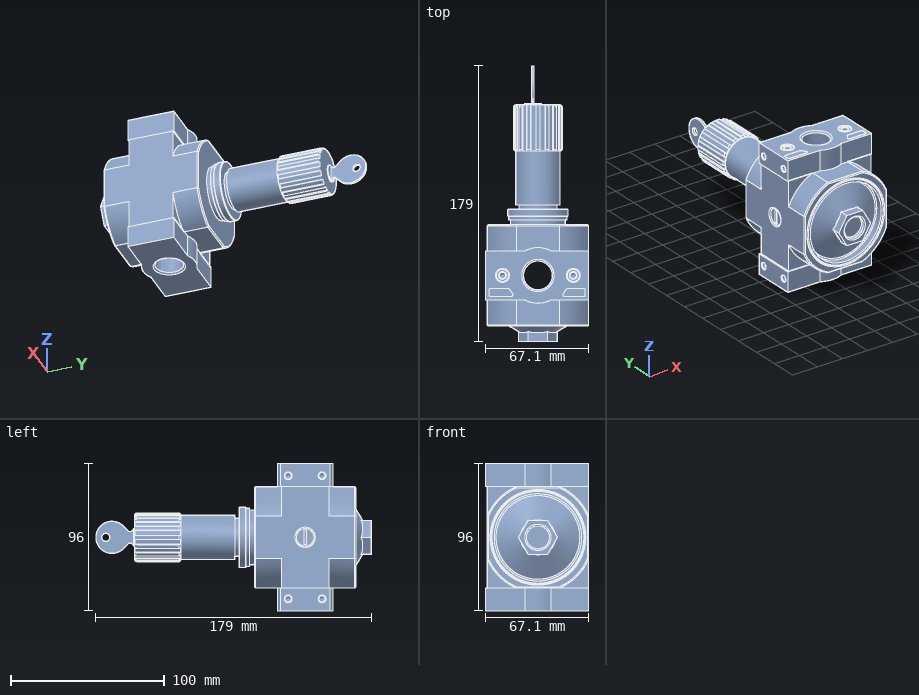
import cadquery as cq
import math


housing_half = 33.0
housing_corner_radius = 35.8
housing_edge_chamfer = 0.8
square_band_half = 15.4

plate_outer_z = 48.0
plate_thickness = plate_outer_z - housing_half
plate_left = -34.1
plate_right = housing_half
plate_half_depth = 16.0
plate_bulge_radius = 18.1
port_diameter = 18.63
port_mouth_diameter = 20.96
side_hole_diameter = 4.13
side_hole_mouth_diameter = 5.0
side_hole_depth = 10.0
side_hole_y = 11.0
side_hole_z = 40.0
drill_point_angle = 118.0

label_edge_gap = 2.3
label_tip_x = 16.3
label_slant = 2.4
label_tip_height = 1.6
label_front_y = -13.7
label_back_y = -8.6
label_corner_radius = 1.0
label_depth = 0.2

screw_x = 23.0
counterbore_diameter = 9.0
counterbore_depth = 5.3
screw_head_diameter = 8.5
screw_head_height = 5.0
screw_diameter = 5.0
screw_length = 22.0
screw_head_seat_z = plate_outer_z - counterbore_depth
screw_tip_z = screw_head_seat_z - screw_length
screw_head_chamfer = 0.3
socket_mouth_diameter = 5.0
socket_diameter = 4.13
socket_depth = 2.5

plug_diameter = 11.45
plug_mouth_diameter = 13.16
plug_recess = (plug_mouth_diameter - plug_diameter) / 2
plug_length = 10.0
plug_slot_width = 1.6
plug_slot_length = 9.6
plug_slot_depth = 1.5

cap_end_y = -43.0
cap_radius = 30.5
cap_edge_chamfer = 0.6
cap_groove_y = -housing_half + cap_edge_chamfer
cap_inner_y = -22.0
cap_recess_radius = 28.4
cone_base_radius = 27.2
cone_base_y = -28.0
cone_top_radius = 11.4
cone_top_y = -37.2
hex_across_flats = 22.0
hex_across_corners = hex_across_flats / math.cos(math.radians(30))
hex_recess_diameter = 17.0
hex_recess_bore_diameter = 15.0
hex_recess_flare = (hex_recess_diameter - hex_recess_bore_diameter) / 2
hex_recess_depth = 3.0

bonnet_base_radius = 17.9
bonnet_step_radius = 19.0
collar_radius = 19.7
neck_radius = 24.9 / 2
bonnet_step_y = 36.1
collar_start_y = 38.3
collar_end_y = 43.1
collar_chamfer = 0.4

sleeve_radius = 14.5
sleeve_start_y = 45.6
grip_start_y = 80.7
grip_end_y = 111.0
grip_radius = 15.0
rib_radius = 15.9
rib_count = 16
rib_width = 2.7
rib_chamfer = 1.1
grip_end_fillet = 2.0

lock_x = -3.25
lock_diameter = 11.2
lock_start_y = 100.0
lock_end_y = 111.6
key_end_y = 136.0
key_thickness = 1.6
key_bow_radius = 10.5
key_bow_y = key_end_y - key_bow_radius
key_hole_diameter = 5.1
key_hole_y = 129.5
key_waist_half = 3.85
key_waist_start_y = 113.0
key_slope = math.radians(45)


def revolved_about_y(points):
    """Solid of revolution about Y from (radius, y) points."""
    return cq.Workplane("XY").polyline(points).close().revolve(360, (0, 0, 0), (0, 1, 0))


def revolved_about_z(points):
    """Solid of revolution about Z from (radius, z) points."""
    return cq.Workplane("XZ").polyline(points).close().revolve(360, (0, 0, 0), (0, 1, 0))


def make_port_cutter():
    """Flow port through the whole part, flared at both mouths."""
    bore = port_diameter / 2
    mouth = port_mouth_diameter / 2
    flare_z = plate_outer_z - (mouth - bore)
    return revolved_about_z([
        (0, -plate_outer_z),
        (mouth, -plate_outer_z),
        (bore, -flare_z),
        (bore, flare_z),
        (mouth, plate_outer_z),
        (0, plate_outer_z),
    ])


def make_drilled_hole_cutter(mouth_diameter, bore_diameter, depth):
    """Countersunk blind hole with a drill point, from the origin towards +Z."""
    bore = bore_diameter / 2
    mouth = mouth_diameter / 2
    point_length = bore / math.tan(math.radians(drill_point_angle / 2))
    return revolved_about_z([
        (0, 0),
        (mouth, 0),
        (bore, mouth - bore),
        (bore, depth),
        (0, depth + point_length),
    ])


def make_label_cutter(outer_x):
    """Shallow pocket from outer_x to a slanted end nearer the port."""
    tip_x = math.copysign(label_tip_x, outer_x)
    slant_x = math.copysign(label_tip_x + label_slant, outer_x)
    pocket = (
        cq.Workplane("XY", origin=(0, 0, plate_outer_z - label_depth))
        .moveTo(outer_x, label_front_y)
        .lineTo(tip_x, label_front_y)
        .lineTo(tip_x, label_front_y + label_tip_height)
        .lineTo(slant_x, label_back_y)
        .lineTo(outer_x, label_back_y)
        .close()
        .extrude(label_depth)
    )
    return pocket.edges("|Z").fillet(label_corner_radius)


def make_plate(bottom_z):
    """End plate with a bulge around the port and two threaded holes in its -X face."""
    plate = (
        cq.Workplane("XY", origin=(0, 0, bottom_z))
        .center((plate_left + plate_right) / 2, 0)
        .rect(plate_right - plate_left, 2 * plate_half_depth)
        .extrude(plate_thickness)
    )
    bulge = cq.Workplane("XY", origin=(0, 0, bottom_z)).circle(plate_bulge_radius).extrude(plate_thickness)
    plate = plate.union(bulge).cut(make_port_cutter())
    hole_z = math.copysign(side_hole_z, bottom_z)
    side_hole = make_drilled_hole_cutter(side_hole_mouth_diameter, side_hole_diameter, side_hole_depth)
    side_hole = side_hole.rotate((0, 0, 0), (0, 1, 0), 90)
    for hole_y in (-side_hole_y, side_hole_y):
        plate = plate.cut(side_hole.translate((plate_left, hole_y, hole_z)))
    return plate


def make_upper_plate():
    """Plate with the screw counterbores and the two label pockets."""
    plate = make_plate(housing_half)
    for x in (-screw_x, screw_x):
        plate = plate.cut(make_screw_hole_cutter(x))
    plate = plate.cut(make_label_cutter(plate_left + label_edge_gap))
    return plate.cut(make_label_cutter(plate_right - label_edge_gap))


def make_screw_hole_cutter(x):
    """Counterbored hole through the upper plate and into the housing."""
    head = screw_head_seat_z
    return revolved_about_z([
        (0, screw_tip_z),
        (screw_diameter / 2, screw_tip_z),
        (screw_diameter / 2, head),
        (counterbore_diameter / 2, head),
        (counterbore_diameter / 2, plate_outer_z),
        (0, plate_outer_z),
    ]).translate((x, 0, 0))


def make_screw(x):
    """Cylinder-head screw with a round socket that ends in a drill cone."""
    head_top_z = screw_head_seat_z + screw_head_height
    body = revolved_about_z([
        (0, screw_tip_z),
        (screw_diameter / 2, screw_tip_z),
        (screw_diameter / 2, screw_head_seat_z),
        (screw_head_diameter / 2, screw_head_seat_z),
        (screw_head_diameter / 2, head_top_z - screw_head_chamfer),
        (screw_head_diameter / 2 - screw_head_chamfer, head_top_z),
        (0, head_top_z),
    ])
    socket = make_drilled_hole_cutter(socket_mouth_diameter, socket_diameter, socket_depth)
    socket = socket.rotate((0, 0, 0), (1, 0, 0), 180).translate((0, 0, head_top_z))
    return body.cut(socket).translate((x, 0, 0))


def make_plug_hole_cutter():
    """Flared blind hole for the side plug."""
    hole = revolved_about_z([
        (0, 0),
        (plug_mouth_diameter / 2, 0),
        (plug_diameter / 2, plug_recess),
        (plug_diameter / 2, plug_recess + plug_length),
        (0, plug_recess + plug_length),
    ])
    return hole.rotate((0, 0, 0), (0, 1, 0), 90).translate((-housing_half, 0, 0))


def make_plug():
    """Round plug with a screwdriver slot along Z."""
    outer_x = -housing_half + plug_recess
    plug = cq.Workplane("YZ", origin=(outer_x, 0, 0)).circle(plug_diameter / 2).extrude(plug_length)
    slot = cq.Workplane("YZ", origin=(outer_x, 0, 0)).rect(plug_slot_width, plug_slot_length)
    return plug.cut(slot.extrude(plug_slot_depth))


def make_housing():
    """Square block whose corners are turned round at both ends, leaving a square band between."""
    ends = (
        cq.Workplane("XZ", origin=(0, housing_half, 0))
        .rect(2 * housing_half, 2 * housing_half)
        .extrude(2 * housing_half)
    )
    turned = (
        cq.Workplane("XZ", origin=(0, housing_half, 0))
        .circle(housing_corner_radius)
        .extrude(2 * housing_half)
    )
    ends = ends.intersect(turned).faces("<Y or >Y").chamfer(housing_edge_chamfer)
    band = cq.Workplane("XY").box(2 * housing_half, 2 * square_band_half, 2 * housing_half)
    housing = ends.union(band).cut(make_port_cutter())
    cap_seat = revolved_about_y([
        (0, -housing_half),
        (cap_radius + cap_edge_chamfer, -housing_half),
        (cap_radius, cap_groove_y),
        (cap_radius, cap_inner_y),
        (0, cap_inner_y),
    ])
    housing = housing.cut(cap_seat).cut(make_plug_hole_cutter())
    for x in (-screw_x, screw_x):
        housing = housing.cut(make_screw_hole_cutter(x))
    return housing


def make_cap():
    """Screw-in cap: a rim, a cone inside it and a hexagon with a flared recess on the cone."""
    cap = revolved_about_y([
        (0, cap_inner_y),
        (cap_radius, cap_inner_y),
        (cap_radius, cap_groove_y),
        (cap_radius - cap_edge_chamfer, -housing_half),
        (cap_recess_radius, -housing_half),
        (cap_recess_radius, cone_base_y),
        (cone_base_radius, cone_base_y),
        (cone_top_radius, cone_top_y),
        (0, cone_top_y),
    ])
    hexagon = (
        cq.Workplane("XZ", origin=(0, cone_base_y, 0))
        .polygon(6, hex_across_corners)
        .extrude(cone_base_y - cap_end_y)
    )
    recess_floor_y = cap_end_y + hex_recess_depth
    recess = revolved_about_y([
        (0, cap_end_y),
        (hex_recess_diameter / 2, cap_end_y),
        (hex_recess_bore_diameter / 2, cap_end_y + hex_recess_flare),
        (hex_recess_bore_diameter / 2, recess_floor_y),
        (0, recess_floor_y),
    ])
    return cap.union(hexagon).cut(recess)


def make_bonnet():
    """Stepped bonnet with its collar and the neck that carries the knob."""
    return revolved_about_y([
        (0, housing_half),
        (bonnet_base_radius, housing_half),
        (bonnet_base_radius, bonnet_step_y),
        (bonnet_step_radius, bonnet_step_y),
        (bonnet_step_radius, collar_start_y),
        (collar_radius - collar_chamfer, collar_start_y),
        (collar_radius, collar_start_y + collar_chamfer),
        (collar_radius, collar_end_y - collar_chamfer),
        (collar_radius - collar_chamfer, collar_end_y),
        (neck_radius, collar_end_y),
        (neck_radius, sleeve_start_y),
        (0, sleeve_start_y),
    ])


def make_knob():
    """Smooth sleeve and ribbed grip, with a bore for the lock cylinder in the grip's end."""
    grip_length = grip_end_y - grip_start_y
    start = cq.Workplane("XZ", origin=(0, grip_start_y, 0))
    envelope = (
        start.circle(rib_radius)
        .extrude(-grip_length)
        .faces("<Y")
        .chamfer(rib_chamfer)
        .faces(">Y")
        .edges()
        .fillet(grip_end_fillet)
    )
    grip = start.circle(grip_radius).extrude(-grip_length)
    rib = start.center(rib_radius / 2, 0).rect(rib_radius, rib_width).extrude(-grip_length)
    for index in range(rib_count):
        grip = grip.union(rib.rotate((0, 0, 0), (0, 1, 0), index * 360 / rib_count))
    sleeve = (
        cq.Workplane("XZ", origin=(0, sleeve_start_y, 0))
        .circle(sleeve_radius)
        .extrude(sleeve_start_y - grip_start_y)
    )
    lock_bore = (
        cq.Workplane("XZ", origin=(lock_x, lock_start_y, 0))
        .circle(lock_diameter / 2)
        .extrude(lock_start_y - lock_end_y)
    )
    return grip.intersect(envelope).union(sleeve).cut(lock_bore)


def make_key_lock():
    """Lock cylinder with its flat key: a round bow with a hole and a waisted neck."""
    lock = (
        cq.Workplane("XZ", origin=(lock_x, lock_start_y, 0))
        .circle(lock_diameter / 2)
        .extrude(lock_start_y - lock_end_y)
    )
    join_y = key_bow_y - key_bow_radius * math.cos(key_slope)
    join_z = key_bow_radius * math.sin(key_slope)
    waist_end_y = join_y - (join_z - key_waist_half) / math.tan(key_slope)
    root_half = key_waist_half + (key_waist_start_y - lock_end_y) * math.tan(key_slope)
    flat = cq.Workplane("YZ", origin=(lock_x - key_thickness / 2, 0, 0))
    neck = (
        flat.moveTo(lock_end_y, 0)
        .lineTo(lock_end_y, root_half)
        .lineTo(key_waist_start_y, key_waist_half)
        .lineTo(waist_end_y, key_waist_half)
        .lineTo(join_y, join_z)
        .lineTo(join_y, 0)
        .mirrorX()
        .extrude(key_thickness)
    )
    bow = flat.center(key_bow_y, 0).circle(key_bow_radius).extrude(key_thickness)
    hole = flat.center(key_hole_y, 0).circle(key_hole_diameter / 2).extrude(key_thickness)
    return lock.union(neck).union(bow).cut(hole)


housing = make_housing()
upper_plate = make_upper_plate()
lower_plate = make_plate(-plate_outer_z)
screws = [make_screw(x) for x in (-screw_x, screw_x)]
plug = make_plug()
cap = make_cap()
bonnet = make_bonnet()
knob = make_knob()
key_lock = make_key_lock()

result = cq.Compound.makeCompound([
    housing.val(),
    upper_plate.val(),
    lower_plate.val(),
    *[screw.val() for screw in screws],
    plug.val(),
    cap.val(),
    bonnet.val(),
    knob.val(),
    key_lock.val(),
])